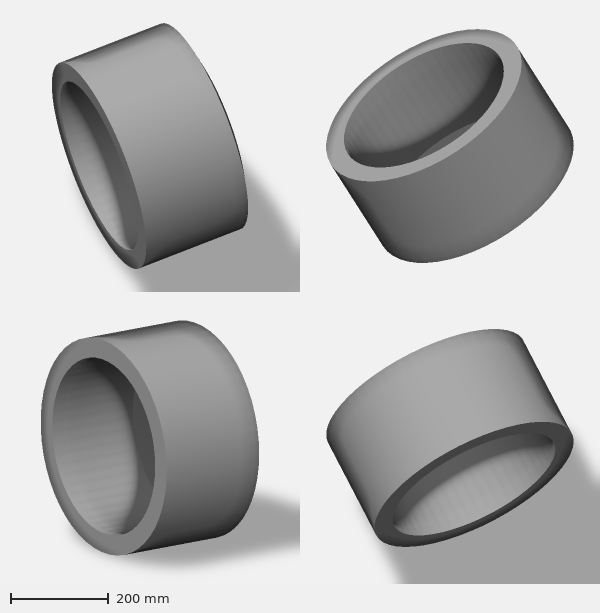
import cadquery as cq
import math

outer_diameter = 450.0
wall_thickness = 41.0
skirt_length = 230.0
crown_outer_radius = 650.0

outer_radius = outer_diameter / 2
bore_radius = outer_radius - wall_thickness

crown_inner_radius = crown_outer_radius - wall_thickness
crown_center_y = skirt_length - math.sqrt(crown_outer_radius**2 - outer_radius**2)


def crown_y(sphere_radius, distance_from_axis):
    """Y of a crown sphere at a given distance from the part's axis."""
    return crown_center_y + math.sqrt(sphere_radius**2 - distance_from_axis**2)


def crown_point(sphere_radius, distance_from_axis):
    """Profile point on a crown sphere."""
    return (distance_from_axis, crown_y(sphere_radius, distance_from_axis))


def half_section():
    """Closed half section of the cap in the XY plane, on the +X side of the axis."""
    return (
        cq.Workplane("XY")
        .moveTo(bore_radius, 0)
        .lineTo(outer_radius, 0)
        .lineTo(outer_radius, skirt_length)
        .threePointArc(
            crown_point(crown_outer_radius, outer_radius / 2),
            crown_point(crown_outer_radius, 0),
        )
        .lineTo(*crown_point(crown_inner_radius, 0))
        .threePointArc(
            crown_point(crown_inner_radius, bore_radius / 2),
            crown_point(crown_inner_radius, bore_radius),
        )
        .close()
    )


result = half_section().revolve(360, (0, 0, 0), (0, 1, 0))